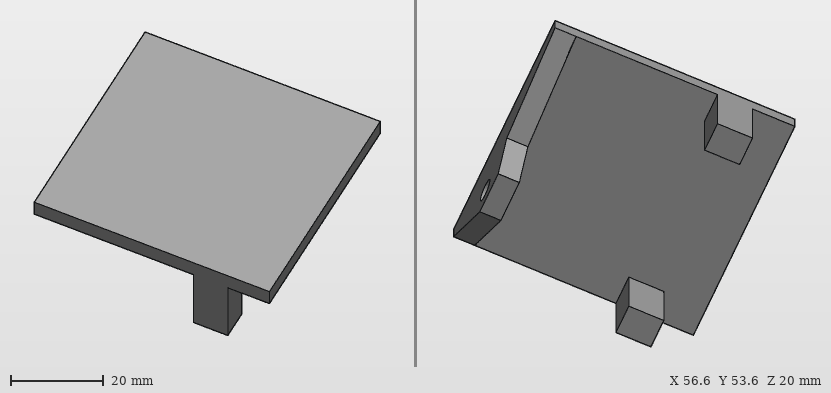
import cadquery as cq

length = 56.6
width = 53.6
height = 20.0
plate_thickness = 4.0

arm_thickness = 5.0
arm_foot_start = 13.85
arm_foot_end = 23.6
arm_knee_offset = 28.15
arm_knee_depth = 10.0
hole_diameter = 5.0
hole_offset = 16.7
hole_depth = 14.2

leg_start = 38.3
leg_length = 8.25
leg_width = 6.8

plate_bottom = height - plate_thickness


def make_plate():
    plate = cq.Workplane("XY").box(length, width, plate_thickness, centered=False)
    return plate.translate((0, 0, plate_bottom))


def make_arm():
    """Tapered arm hanging from the -X edge, pierced by the pivot hole."""
    arm = (
        cq.Workplane("YZ")
        .moveTo(width, plate_bottom)
        .lineTo(width - arm_foot_start, 0)
        .lineTo(width - arm_foot_end, 0)
        .lineTo(width - arm_knee_offset, height - arm_knee_depth)
        .lineTo(0, plate_bottom)
        .close()
        .extrude(arm_thickness)
    )
    hole = (
        cq.Workplane("YZ")
        .center(width - hole_offset, height - hole_depth)
        .circle(hole_diameter / 2)
        .extrude(arm_thickness)
    )
    return arm.cut(hole)


def make_leg(y_start):
    leg = cq.Workplane("XY").box(leg_length, leg_width, plate_bottom, centered=False)
    return leg.translate((leg_start, y_start, 0))


result = make_plate().union(make_arm())
for y_start in (0, width - leg_width):
    result = result.union(make_leg(y_start))